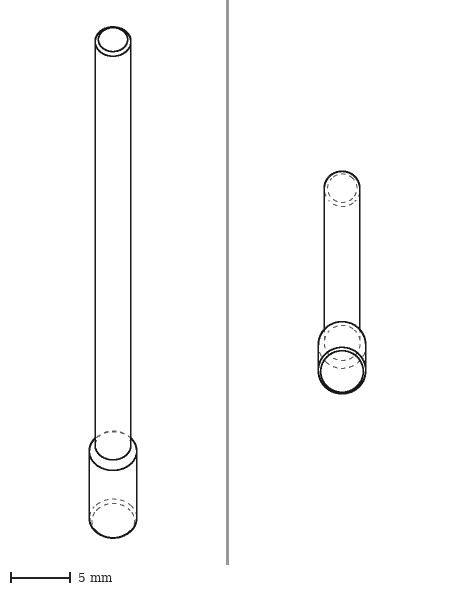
import cadquery as cq

total_length = 70.0
rod_diameter = 3.0
head_diameter = 4.0

head_length = 11.0
head_taper_height = 0.85
head_chamfer_height = 0.35
head_chamfer_width = 0.2

rod_length = total_length - head_length
rod_top_chamfer = 0.3


def make_head():
    """Revolved cylinder with a chamfered bottom edge and a cone narrowing to the rod."""
    head_radius = head_diameter / 2
    return (
        cq.Workplane("XZ")
        .lineTo(head_radius - head_chamfer_width, 0)
        .lineTo(head_radius, head_chamfer_height)
        .lineTo(head_radius, head_length - head_taper_height)
        .lineTo(rod_diameter / 2, head_length)
        .lineTo(0, head_length)
        .close()
        .revolve(360, (0, 0, 0), (0, 1, 0))
    )


def make_rod():
    """Cylinder resting on the flat top of the head, chamfered at its free end."""
    return (
        cq.Workplane("XY")
        .workplane(offset=head_length)
        .circle(rod_diameter / 2)
        .extrude(rod_length)
        .faces(">Z")
        .chamfer(rod_top_chamfer)
    )


head = make_head()
rod = make_rod()

result = cq.Compound.makeCompound([head.val(), rod.val()])